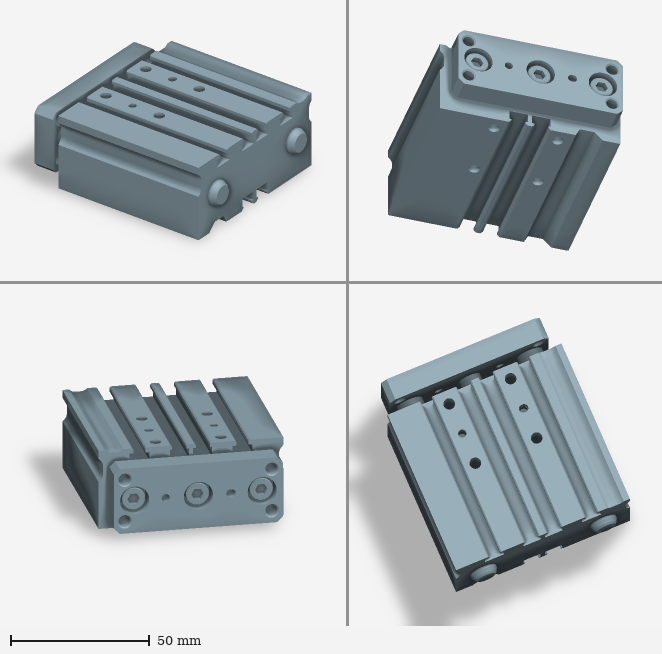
import cadquery as cq
import math


total_length = 79.0
plate_thickness = 8.2
plate_gap = 4.75
guide_overhang = 3.0
housing_start = plate_thickness + plate_gap
housing_end = total_length - guide_overhang
housing_length = housing_end - housing_start

housing_width = 68.0
housing_height = 30.0
half_width = housing_width / 2
top = housing_height / 2
bottom = -top

lip_chamfer = 0.5
outer_slot_y = 18.95
outer_mouth_width = 4.4
outer_cavity_width = 7.4
outer_lip = 1.9
slot_depth = 5.1
rib_flange_half = 1.7
rib_stem_half = 0.8
block_lip_y = 7.0
block_wall_y = 7.7
inner_lip = 1.6
bottom_lip_chamfer = 0.95

recess_outer_y = 31.6
recess_inner_y = 25.0
recess_depth = 1.0
recess_curve_run = 2.4

side_groove_z = 7.5
side_groove_mouth = 9.0
side_groove_floor = 3.3
side_groove_depth = 1.6
side_groove_bevel = 0.7

wide_groove_inner_y = -17.2
wide_groove_outer_y = -27.5
wide_groove_depth = 3.15
wide_groove_inner_run = 1.6

hole_row_y = 12.0
mount_hole_diameter = 4.2
mount_hole_setback = 5.0
mount_hole_pitch = 24.0
mount_hole_x = [housing_start + mount_hole_setback, housing_start + mount_hole_setback + mount_hole_pitch]
locating_x = sum(mount_hole_x) / 2
locating_diameter = 3.0
locating_stretch = 0.4
locating_depth = 6.0
oblong_depth = locating_depth / 2

plate_width = 62.1
plate_height = 25.0
plate_chamfer = 2.1
corner_hole_y = 27.0
corner_hole_z = 8.0
corner_hole_diameter = 4.2
corner_countersink_diameter = 5.2
corner_countersink_angle = 90

rod_spacing = 23.5
guide_diameter = 10.0
piston_diameter = 8.2
shank_diameter = 5.0
head_diameter = 8.5
head_height = 5.0
head_chamfer = 0.2
head_recess = 1.5
hex_across_flats = 4.0
hex_across_corners = hex_across_flats / math.cos(math.pi / 6)
hex_depth = 2.5
counterbore_diameter = 10.7
counterbore_depth = head_recess + head_height
piston_end = housing_start + housing_length / 2
guide_taper_start = 0.95
guide_taper_end = 2.3
guide_taper_diameter = 8.7
guide_tip_diameter = 7.35


def prism(outline):
    """Closed sketch in YZ, extruded over the length of the housing."""
    return outline.close().extrude(housing_length)


def section():
    """YZ sketch plane on the housing's end face nearest the plate."""
    return cq.Workplane("YZ", origin=(housing_start, 0, 0))


def t_slot(mouth, cavity, lip, chamfer, face):
    """T-slot cutter; face is +1 for the top face and -1 for the bottom face."""
    surface = face * top
    lip_back = face * (top - lip)
    floor = face * (top - slot_depth)
    chamfer_end = face * (top - chamfer)
    return prism(
        section()
        .moveTo(mouth[0] - chamfer, surface)
        .lineTo(mouth[0], chamfer_end)
        .lineTo(mouth[0], lip_back)
        .lineTo(cavity[0], lip_back)
        .lineTo(cavity[0], floor)
        .lineTo(cavity[1], floor)
        .lineTo(cavity[1], lip_back)
        .lineTo(mouth[1], lip_back)
        .lineTo(mouth[1], chamfer_end)
        .lineTo(mouth[1] + chamfer, surface)
    )


def outer_slot(side):
    y = side * outer_slot_y
    mouth = (y - outer_mouth_width / 2, y + outer_mouth_width / 2)
    cavity = (y - outer_cavity_width / 2, y + outer_cavity_width / 2)
    return t_slot(mouth, cavity, outer_lip, lip_chamfer, 1)


def inner_slot(side, chamfer, face):
    mouth = sorted([side * rib_flange_half, side * block_lip_y])
    cavity = sorted([side * rib_stem_half, side * block_wall_y])
    return t_slot(mouth, cavity, inner_lip, chamfer, face)


def tangent_arc_mid(run, rise):
    """Midpoint of an arc that starts flat at (0, 0) and ends at (run, rise)."""
    radius = (run**2 + rise**2) / (2 * rise)
    half_angle = math.asin(run / radius) / 2
    return radius * math.sin(half_angle), radius * (1 - math.cos(half_angle))


def top_recess():
    floor = top - recess_depth
    mid_run, mid_rise = tangent_arc_mid(recess_curve_run, recess_depth)
    floor_outer = recess_outer_y - recess_curve_run
    floor_inner = recess_inner_y + recess_curve_run
    return prism(
        section()
        .moveTo(recess_outer_y, top)
        .threePointArc((floor_outer + mid_run, floor + mid_rise), (floor_outer, floor))
        .lineTo(floor_inner, floor)
        .threePointArc((floor_inner - mid_run, floor + mid_rise), (recess_inner_y, top))
    )


def side_groove(side):
    face_y = side * half_width
    bevel_y = side * (half_width - side_groove_bevel)
    floor_y = side * (half_width - side_groove_depth)
    half_mouth = side_groove_mouth / 2
    half_bevel = half_mouth - side_groove_bevel
    half_floor = side_groove_floor / 2
    mid_run, mid_rise = tangent_arc_mid(half_bevel - half_floor, side_groove_depth - side_groove_bevel)
    mid_y = floor_y + side * mid_rise
    mid_z = half_floor + mid_run
    return prism(
        section()
        .moveTo(face_y, side_groove_z - half_mouth)
        .lineTo(bevel_y, side_groove_z - half_bevel)
        .threePointArc((mid_y, side_groove_z - mid_z), (floor_y, side_groove_z - half_floor))
        .lineTo(floor_y, side_groove_z + half_floor)
        .threePointArc((mid_y, side_groove_z + mid_z), (bevel_y, side_groove_z + half_bevel))
        .lineTo(face_y, side_groove_z + half_mouth)
    )


def wide_groove():
    floor = bottom + wide_groove_depth
    return prism(
        section()
        .moveTo(wide_groove_inner_y, bottom)
        .lineTo(wide_groove_inner_y - wide_groove_inner_run, floor)
        .lineTo(wide_groove_outer_y + wide_groove_depth, floor)
        .lineTo(wide_groove_outer_y, bottom)
    )


def cylinder_x(diameter, start, end):
    return cq.Workplane("YZ", origin=(start, 0, 0)).circle(diameter / 2).extrude(end - start)


def make_housing():
    body = section().rect(housing_width, housing_height).extrude(housing_length)
    for side in (1, -1):
        body = body.cut(outer_slot(side))
        body = body.cut(inner_slot(side, lip_chamfer, 1))
        body = body.cut(inner_slot(side, bottom_lip_chamfer, -1))
        body = body.cut(side_groove(side))
    body = body.cut(top_recess()).cut(wide_groove())

    mount_points = [(x, side * hole_row_y) for x in mount_hole_x for side in (1, -1)]
    mount_holes = (
        cq.Workplane("XY", origin=(0, 0, bottom))
        .pushPoints(mount_points)
        .circle(mount_hole_diameter / 2)
        .extrude(housing_height)
    )
    face = cq.Workplane("XY", origin=(0, 0, top))
    round_hole = face.center(locating_x, -hole_row_y).circle(locating_diameter / 2).extrude(-locating_depth)
    oblong_hole = (
        face.center(locating_x, hole_row_y)
        .slot2D(locating_diameter + locating_stretch, locating_diameter, 90)
        .extrude(-oblong_depth)
    )
    oblong_pilot = round_hole.translate((0, 2 * hole_row_y, 0))
    body = body.cut(mount_holes).cut(round_hole).cut(oblong_hole).cut(oblong_pilot)

    body = body.cut(cylinder_x(piston_diameter, housing_start, piston_end))
    guide_bore = cylinder_x(guide_diameter, housing_start, housing_end)
    for side in (1, -1):
        body = body.cut(guide_bore.translate((0, side * rod_spacing, 0)))
    return body


def make_plate():
    plate = (
        cq.Workplane("YZ")
        .rect(plate_width, plate_height)
        .extrude(plate_thickness)
        .edges("|X")
        .chamfer(plate_chamfer)
    )
    outer_face = plate.faces("<X").workplane(origin=(0, 0, 0))
    plate = (
        outer_face.rect(2 * corner_hole_y, 2 * corner_hole_z, forConstruction=True)
        .vertices()
        .cskHole(corner_hole_diameter, corner_countersink_diameter, corner_countersink_angle)
    )

    screw_hole = cylinder_x(shank_diameter, 0, plate_thickness)
    screw_hole = screw_hole.union(cylinder_x(counterbore_diameter, 0, counterbore_depth))
    for position in (-1, 0, 1):
        plate = plate.cut(screw_hole.translate((0, position * rod_spacing, 0)))

    sketch = cq.Workplane("YZ")
    round_hole = sketch.center(hole_row_y, 0).circle(locating_diameter / 2).extrude(plate_thickness)
    oblong_hole = (
        sketch.center(-hole_row_y, 0)
        .slot2D(locating_diameter + locating_stretch, locating_diameter)
        .extrude(oblong_depth)
    )
    oblong_pilot = round_hole.translate((0, -2 * hole_row_y, 0))
    return plate.cut(round_hole).cut(oblong_hole).cut(oblong_pilot)


def screw_end():
    """Socket cap head and the shank that carries the plate on a rod."""
    head = cylinder_x(head_diameter, head_recess, counterbore_depth).faces("<X").edges().chamfer(head_chamfer)
    socket = (
        cq.Workplane("YZ", origin=(head_recess, 0, 0))
        .polygon(6, hex_across_corners)
        .extrude(hex_depth)
    )
    shank = cylinder_x(shank_diameter, counterbore_depth, plate_thickness)
    return head.cut(socket).union(shank)


def make_piston_rod():
    return cylinder_x(piston_diameter, plate_thickness, piston_end).union(screw_end())


def make_guide_rod(y):
    rod = (
        cq.Workplane("XY")
        .moveTo(plate_thickness, 0)
        .lineTo(plate_thickness, guide_diameter / 2)
        .lineTo(housing_end + guide_taper_start, guide_diameter / 2)
        .lineTo(housing_end + guide_taper_end, guide_taper_diameter / 2)
        .lineTo(total_length, guide_tip_diameter / 2)
        .lineTo(total_length, 0)
        .close()
        .revolve(360, (0, 0, 0), (1, 0, 0))
    )
    return rod.union(screw_end()).translate((0, y, 0))


housing = make_housing()
plate = make_plate()
piston_rod = make_piston_rod()
guide_rods = [make_guide_rod(side * rod_spacing) for side in (1, -1)]

result = cq.Compound.makeCompound(
    [housing.val(), plate.val(), piston_rod.val(), *[rod.val() for rod in guide_rods]]
)